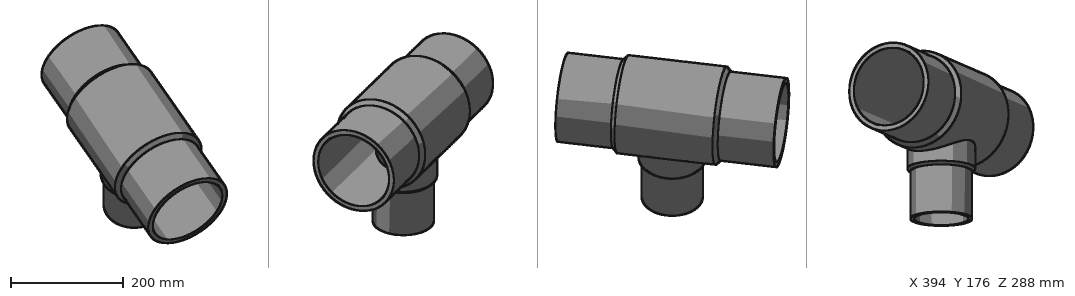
import cadquery as cq

run_length = 394.0
run_diameter = 160.0
run_bore = 141.0
body_diameter = 176.0
body_length = 193.0

branch_diameter = 110.0
branch_bore = 97.0
collar_diameter = 121.0
total_height = 288.0
branch_reach = total_height - body_diameter / 2
collar_reach = 114.0

body_chamfer = (body_diameter - run_diameter) / 2
collar_chamfer = (collar_diameter - branch_diameter) / 2


def run_cylinder(diameter, length):
    """Cylinder along X, centred on the origin."""
    return cq.Workplane("YZ", origin=(-length / 2, 0, 0)).circle(diameter / 2).extrude(length)


def branch_cylinder(diameter, reach):
    """Cylinder from the run axis down to the given reach."""
    return cq.Workplane("XY").circle(diameter / 2).extrude(-reach)


body = run_cylinder(body_diameter, body_length).faces("<X or >X").edges().chamfer(body_chamfer)
collar = branch_cylinder(collar_diameter, collar_reach).faces("<Z").edges().chamfer(collar_chamfer)
outer = (
    run_cylinder(run_diameter, run_length)
    .union(body)
    .union(branch_cylinder(branch_diameter, branch_reach))
    .union(collar)
)

result = outer.cut(run_cylinder(run_bore, run_length)).cut(branch_cylinder(branch_bore, branch_reach))